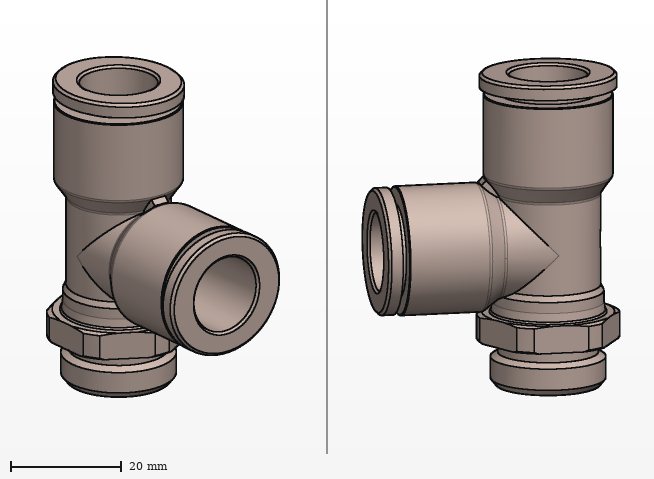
import cadquery as cq
import math

total_height = 57.85
port_length = 31.9
branch_height = total_height - port_length

stem_radius = 9.55
body_radius = 11.75
cone_start = 9.7
cone_end = 12.85
cone_blend = 0.85
body_end = 27.9
body_edge_chamfer = 0.2
neck_radius = 8.55
collar_length = 25.0
collar_width = 23.0
collar_thickness = 2.6
collar_chamfer = 0.5
bore_radius = 7.1
bore_mouth_chamfer = 0.45
bore_floor = cone_end

thread_radius = 10.45
thread_tip_radius = 9.5
thread_tip_height = 1.2
thread_top = 5.15
undercut_radius = 9.15
undercut_start = 6.0
undercut_end = 7.9
undercut_flare = 0.35
sleeve_radius = 10.1
sleeve_flare_top = 15.45
sleeve_flare_radius = 10.35
sleeve_foot_radius = 10.65
sleeve_foot_height = 0.35
sleeve_top = 17.4
sleeve_cone_top = 18.5

hex_flats = 24.0
hex_corner_radius = 13.0
hex_bottom = 8.45
hex_top = 13.5
hex_bottom_chamfer = 0.3
hex_top_radius = 12.05
hex_top_chamfer = 0.35

gusset_thickness = 3.1
gusset_corner = 12.65

recess_depth = 0.5
recess_bottom = 25.1
recess_top = 29.15


def revolve_z(points):
    """Revolve a closed (radius, height) outline about the Z axis."""
    outline = cq.Workplane("XZ").polyline(points).close()
    return outline.revolve(360, (0, 0, 0), (0, 1, 0))


def circle_edges_at(solid, height):
    """Select the edges lying at one height."""
    reach = 2 * body_radius
    margin = 0.005
    return solid.edges(
        cq.selectors.BoxSelector(
            (-reach, -reach, height - margin), (reach, reach, height + margin)
        )
    )


def make_port():
    """Solid port along +Z, with the long axis of its collar along X."""
    body = revolve_z([
        (0, 0),
        (stem_radius, 0),
        (stem_radius, cone_start),
        (body_radius, cone_end),
        (body_radius, body_end),
        (0, body_end),
    ])
    for height in (cone_start, cone_end):
        body = circle_edges_at(body, height).fillet(cone_blend)
    body = body.faces(">Z").chamfer(body_edge_chamfer)
    collar_start = port_length - collar_thickness
    neck = (
        cq.Workplane("XY")
        .workplane(offset=body_end)
        .circle(neck_radius)
        .extrude(collar_start - body_end)
    )
    collar = (
        cq.Workplane("XY")
        .workplane(offset=collar_start)
        .ellipse(collar_length / 2, collar_width / 2)
        .extrude(collar_thickness)
        .faces(">Z")
        .chamfer(collar_chamfer)
    )
    return body.union(neck).union(collar)


def make_bore():
    """Blind tube socket of a port, with a chamfered mouth."""
    return revolve_z([
        (0, bore_floor),
        (bore_radius, bore_floor),
        (bore_radius, port_length - bore_mouth_chamfer),
        (bore_radius + bore_mouth_chamfer, port_length),
        (0, port_length),
    ])


def place_on_run(solid):
    return solid.translate((0, 0, branch_height))


def place_on_branch(solid):
    """Turn a port part so that it points along +X with its long axis along Y."""
    turned = solid.rotate((0, 0, 0), (0, 0, 1), 90).rotate((0, 0, 0), (0, 1, 0), 90)
    return turned.translate((0, 0, branch_height))


def make_lower_run():
    """Thread, undercut, sleeve and stem up to the branch axis."""
    return revolve_z([
        (0, 0),
        (thread_tip_radius, 0),
        (thread_radius, thread_tip_height),
        (thread_radius, thread_top),
        (undercut_radius, undercut_start),
        (undercut_radius, undercut_end),
        (undercut_radius + undercut_flare, hex_bottom),
        (sleeve_foot_radius, hex_bottom),
        (sleeve_foot_radius, hex_top),
        (sleeve_flare_radius, hex_top + sleeve_foot_height),
        (sleeve_radius, sleeve_flare_top),
        (sleeve_radius, sleeve_top),
        (stem_radius, sleeve_cone_top),
        (stem_radius, branch_height),
        (0, branch_height),
    ])


def make_hex():
    """Hexagon with flats facing +Y and -Y, its corners turned round and bevelled."""
    across_corners = hex_flats / math.cos(math.pi / 6)
    prism = (
        cq.Workplane("XY")
        .workplane(offset=hex_bottom)
        .polygon(6, across_corners)
        .extrude(hex_top - hex_bottom)
    )
    envelope = revolve_z([
        (0, hex_bottom),
        (hex_corner_radius - hex_bottom_chamfer, hex_bottom),
        (hex_corner_radius, hex_bottom + hex_bottom_chamfer),
        (hex_corner_radius, hex_top - hex_top_chamfer),
        (hex_top_radius, hex_top),
        (0, hex_top),
    ])
    return prism.intersect(envelope)


def make_gusset():
    """Plate filling the inner corner between the two port bodies."""
    return (
        cq.Workplane("XZ")
        .polyline([(0, 0), (body_radius, gusset_corner), (gusset_corner, body_radius)])
        .close()
        .extrude(gusset_thickness / 2, both=True)
        .translate((0, 0, branch_height))
    )


def make_recess():
    """Flat-floored cut into the -X side of the stem, with 45 degree ends."""
    floor_x = -(stem_radius - recess_depth)
    return (
        cq.Workplane("XZ")
        .polyline([
            (-stem_radius, recess_bottom),
            (floor_x, recess_bottom + recess_depth),
            (floor_x, recess_top - recess_depth),
            (-stem_radius, recess_top),
        ])
        .close()
        .extrude(stem_radius, both=True)
    )


port = make_port()
bore = make_bore()

result = (
    make_lower_run()
    .union(make_hex())
    .union(place_on_run(port))
    .union(place_on_branch(port))
    .union(make_gusset())
    .clean()
    .cut(place_on_run(bore))
    .cut(place_on_branch(bore))
    .cut(make_recess())
)